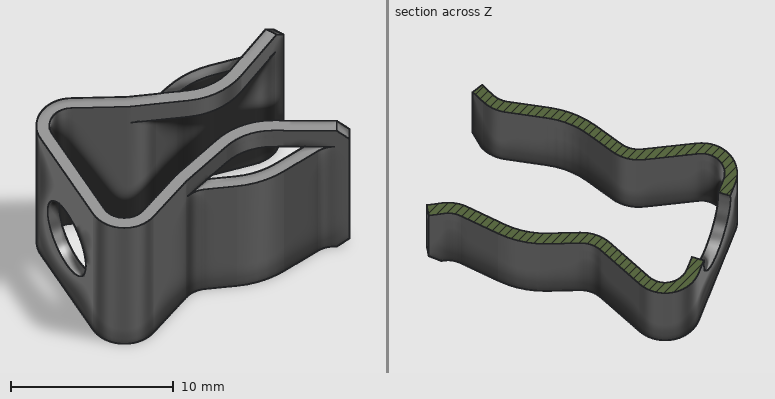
import cadquery as cq
import math

thickness = 0.8
height = 11.1
upper_band_height = 1.55
lower_band_height = height - upper_band_height

base_flat = 6.82
hole_diameter = 4.98
hole_height = 5.1

base_lean = -90.0
wall_lean = 26.4
grip_lean = 20.4
tip_lean = -28.4
bulge_start_lean = -20.8
bulge_end_lean = 9.7

corner_radius = 2.2
split_radius = 1.69
grip_radius = 3.77
bulge_radius = 5.95
rejoin_radius = 1.61

wall_length = 3.41
grip_length = 3.61
flare_length = 3.76
tip_length = 0.96
tip_chamfer = 0.8


def along(lean):
    """Unit vector in the running direction of a stretch."""
    angle = math.radians(lean)
    return cq.Vector(math.sin(angle), math.cos(angle))


def inward(lean):
    """Unit vector across the sheet, from the outer to the inner surface."""
    angle = math.radians(lean)
    return cq.Vector(math.cos(angle), -math.sin(angle))


class SheetPath:
    """Outer surface of a bent sheet, built as tangent straights and bends."""

    def __init__(self, start, lean):
        self.point = start
        self.lean = lean
        self.outer_edges = []
        self.inner_edges = []
        self.start_line = (start, self.inner_point(start, lean))

    @staticmethod
    def inner_point(point, lean):
        return point + inward(lean) * thickness

    def straight(self, length):
        end = self.point + along(self.lean) * length
        self.outer_edges.append(cq.Edge.makeLine(self.point, end))
        inner_start = self.inner_point(self.point, self.lean)
        inner_end = self.inner_point(end, self.lean)
        self.inner_edges.append(cq.Edge.makeLine(inner_start, inner_end))
        self.point = end
        return self

    def bend(self, radius, new_lean):
        signed_radius = math.copysign(radius, new_lean - self.lean)
        centre = self.point + inward(self.lean) * signed_radius
        leans = (self.lean, (self.lean + new_lean) / 2, new_lean)
        outer = [centre - inward(lean) * signed_radius for lean in leans]
        inner = [self.inner_point(point, lean) for point, lean in zip(outer, leans)]
        self.outer_edges.append(cq.Edge.makeThreePointArc(*outer))
        self.inner_edges.append(cq.Edge.makeThreePointArc(*inner))
        self.point = outer[-1]
        self.lean = new_lean
        return self

    def extrude(self, bottom, top):
        end_line = (self.point, self.inner_point(self.point, self.lean))
        ends = [cq.Edge.makeLine(*self.start_line), cq.Edge.makeLine(*end_line)]
        outline = cq.Wire.assembleEdges(self.outer_edges + self.inner_edges[::-1] + ends)
        solid = cq.Solid.extrudeLinear(outline, [], cq.Vector(0, 0, top - bottom))
        return cq.Workplane(obj=solid.translate(cq.Vector(0, 0, bottom)))


def start_leg():
    """Half base plate, corner and wall, shared by both bands of a leg."""
    path = SheetPath(cq.Vector(0, 0), base_lean)
    path.straight(base_flat / 2)
    path.bend(corner_radius, wall_lean)
    return path.straight(wall_length)


def gripping_path():
    """Upper band: bends toward the middle, then flares out to the tip."""
    path = start_leg()
    path.bend(split_radius, grip_lean).straight(grip_length)
    return path.bend(grip_radius, tip_lean).straight(flare_length)


def bulging_path(first_length, second_length):
    """Lower band: bulges outward, then turns back into the tip direction."""
    path = start_leg()
    path.bend(split_radius, bulge_start_lean).straight(first_length)
    path.bend(bulge_radius, bulge_end_lean).straight(second_length)
    return path.bend(rejoin_radius, tip_lean)


def bulge_lengths(meeting_point):
    """Lengths of the two bulge straights that end the band at meeting_point."""
    trial_length = 1.0
    gap = meeting_point - bulging_path(trial_length, trial_length).point
    first = along(bulge_start_lean)
    second = along(bulge_end_lean)
    determinant = first.cross(second).z
    first_length = trial_length + gap.cross(second).z / determinant
    second_length = trial_length + first.cross(gap).z / determinant
    return first_length, second_length


def tip_corner_cutter(tip_point, z_level):
    """Square bar turned 45 degrees that bevels a tip corner at one height."""
    bar_side = tip_chamfer * math.sqrt(2)
    bar_half_length = 2 * thickness
    plane = cq.Plane(
        origin=(tip_point.x, tip_point.y, z_level),
        xDir=along(tip_lean).toTuple(),
        normal=inward(tip_lean).toTuple(),
    )
    bar = cq.Workplane(plane).transformed(rotate=(0, 0, 45))
    return bar.rect(bar_side, bar_side).extrude(bar_half_length, both=True)


def left_half():
    """Left leg and half base: two stacked bands joined at wall and tip."""
    upper_path = gripping_path()
    meeting_point = upper_path.point
    lower_path = bulging_path(*bulge_lengths(meeting_point))
    upper_path.straight(tip_length)
    lower_path.straight(tip_length)
    lower_band = lower_path.extrude(0, lower_band_height)
    half = lower_band.union(upper_path.extrude(lower_band_height, height))
    for z_level in (0, height):
        half = half.cut(tip_corner_cutter(upper_path.point, z_level))
    return half


def mounting_hole():
    drill = cq.Workplane("XZ").center(0, hole_height).circle(hole_diameter / 2)
    return drill.extrude(2 * thickness, both=True)


half_clip = left_half()
clip = half_clip.union(half_clip.mirror("YZ"))
result = clip.cut(mounting_hole()).clean()